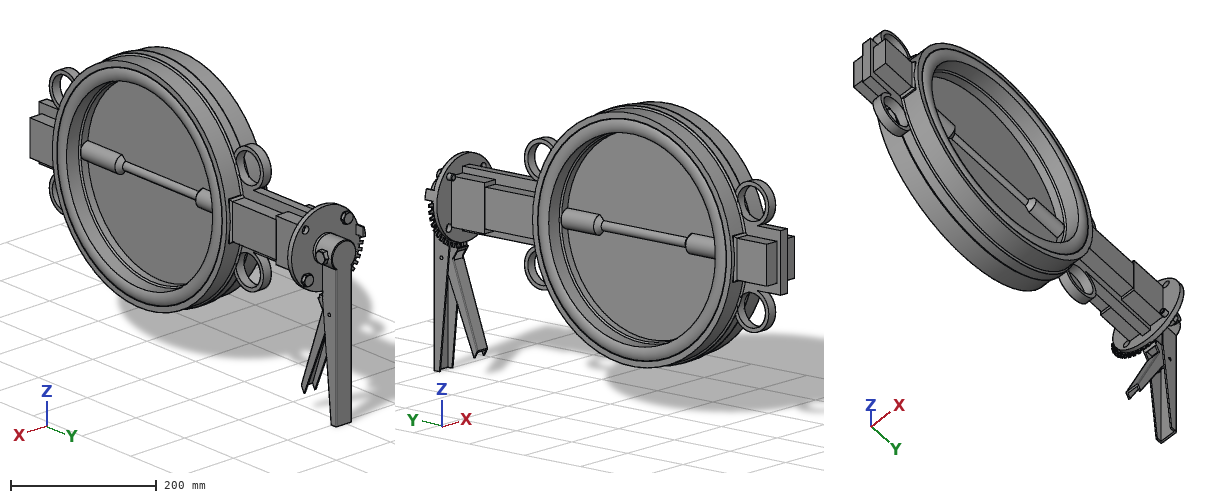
import cadquery as cq
import math


BORE_DIAMETER = 340.0
RIM_DIAMETER = 358.0
RIM_WIDTH = 77.0
FLANGE_DIAMETER = 364.5
FLANGE_WIDTH = 15.0
FLANGE_ROOT = 2.5
WEB_HEIGHT = 91.5
NECK_DEPTH = 59.5
NECK_HEIGHT = 59.5
NECK_ROOT = 3.0
NECK_ROOT_END = 181.0
PAD_DEPTH = 62.0
PAD_HEIGHT = 72.5
PAD_LENGTH = 59.5
NECK_END = 331.0
FOOT_END = -241.0
FOOT_BLOCK_END = FOOT_END + 6.0
LUG_HOLE = 50.0
LUG_DIAMETER = 62.5
LUG_Y = 188.5
LUG_Z = 75.5
LUG_WEB_END = 199.0
LUG_WEB_HEIGHT = 101.5

LINER_BORE = 300.0
LAND_DIAMETER = 296.0
LAND_WIDTH = 27.0
LAND_SHOULDER = 2.5
LIP_CROWN_X = 41.5
LIP_CROWN_RADIUS = 160.0
LIP_OUTER_DIAMETER = 338.5
LIP_INNER_X = 38.5

DISC_THICKNESS = 3.0
STEM_DIAMETER = 30.0
WAIST_DIAMETER = 15.0
WAIST_TOP = 81.5
WAIST_BOTTOM = -69.0
STEM_CONE = 7.5

PLATE_DIAMETER = 125.0
PLATE_THICKNESS = 8.0
PLATE_TOP = NECK_END + PLATE_THICKNESS
BOSS_DIAMETER = 45.0
BOSS_HEIGHT = 4.5
BOSS_TOP = PLATE_TOP + BOSS_HEIGHT
BOLT_HOLE = 12.0
BOLT_OFFSET = 36.5
SECTOR_THICKNESS = 2.0
SECTOR_ROOT_RADIUS = 64.5
TOOTH_TIP_RADIUS = 70.5
TOOTH_WIDTH = 4.5
TOOTH_COUNT = 12
TOOTH_START = 180.0
TOOTH_SPAN = 90.0
STOP_INNER_X = -57.0
STOP_HEIGHT = 13.5
STOP_BOTTOM_Z = 5.0
STOP_WIDTH = 15.0

BOLT_DIAMETER = 10.0
BOLT_TIP = 8.5
BOLT_TIP_CHAMFER = 1.0
HEAD_ACROSS_FLATS = 17.0
HEAD_HEIGHT = 6.0
HEAD_BEVEL = 1.55
WASHER_FACE_DIAMETER = 16.0
WASHER_FACE_HEIGHT = 1.0

LEVER_TOP = 377.5
LEVER_WIDTH = 29.0
LEVER_WEB = 3.0
LEVER_WALL = 2.5
LEVER_END_Z = -249.6
LEVER_DEPTH = 28.0
LEVER_TAPER_Z = -69.0
LEVER_END_DEPTH = 10.5
LEVER_ROUND = 2.0
HUB_CHAMFER = 1.0
SCREW_Y = 360.5
SCREW_ACROSS_FLATS = 18.0
SCREW_END_X = 29.0

TRIGGER_WIDTH = 22.0
TRIGGER_WALL = 2.5
TRIGGER_ROUND = 1.0
TRIGGER_OPENING = 5.0
PIVOT_DIAMETER = 5.0
PIVOT_Y = 363.0
PIVOT_Z = -88.0
TRIGGER_OUTLINE = [
    (PLATE_TOP, -65.5),
    (PLATE_TOP, -TOOTH_TIP_RADIUS),
    (336.0, -71.0),
    (345.0, -86.0),
    (301.0, -210.5),
    (307.5, -221.5),
    (354.5, -109.5),
    (369.0, -90.5),
    (369.0, -83.0),
    (351.5, -65.5),
]
TRIGGER_HEEL = TRIGGER_OUTLINE[3]
TRIGGER_TAIL = TRIGGER_OUTLINE[4]


def box(x_size, z_size, y_start, y_end):
    """Box centred on the stem axis between two heights along it."""
    return cq.Workplane("XY").box(x_size, y_end - y_start, z_size).translate((0, (y_start + y_end) / 2, 0))


def rod_x(diameter, length, y=0, z=0):
    """Cylinder along X, centred on X = 0."""
    return cq.Workplane("YZ").center(y, z).circle(diameter / 2).extrude(length / 2, both=True)


def rod_y(diameter, y_start, y_end, x=0, z=0):
    """Cylinder along Y between two heights."""
    plane = cq.Workplane("XZ", origin=(0, y_start, 0))
    return plane.center(x, z).circle(diameter / 2).extrude(y_start - y_end)


def revolve_x(profile):
    """Full turn about X of a closed (X, radius) profile."""
    return profile.revolve(360, (0, 0, 0), (1, 0, 0))


def hex_head(across_flats, height):
    """Hexagonal head along Z from the origin, with its outer corners bevelled."""
    corners = across_flats / math.cos(math.radians(30))
    bevelled = cq.Workplane("XY").circle(corners / 2).extrude(height).faces(">Z").chamfer(HEAD_BEVEL)
    return cq.Workplane("XY").polygon(6, corners).extrude(height).intersect(bevelled)


def make_ring():
    """Round part of the housing with its central rib, not yet bored."""
    rim_x = RIM_WIDTH / 2
    rib_x = FLANGE_WIDTH / 2
    rim_radius = RIM_DIAMETER / 2
    rib_radius = FLANGE_DIAMETER / 2
    root_x = rib_x + FLANGE_ROOT
    root_radius = rim_radius + FLANGE_ROOT
    profile = cq.Workplane("XY").polyline([
        (-rim_x, 0), (-rim_x, rim_radius), (-root_x, rim_radius), (-rib_x, root_radius),
        (-rib_x, rib_radius), (rib_x, rib_radius), (rib_x, root_radius),
        (root_x, rim_radius), (rim_x, rim_radius), (rim_x, 0),
    ]).close()
    return revolve_x(profile)


def make_housing():
    """Ring, neck, foot and four locating lugs in one casting."""
    root_size = NECK_HEIGHT + 2 * NECK_ROOT
    root = box(root_size, root_size, -NECK_ROOT_END, NECK_ROOT_END).faces("<Y or >Y").chamfer(NECK_ROOT)
    body = (
        make_ring()
        .union(box(FLANGE_WIDTH, WEB_HEIGHT, FOOT_END, NECK_END))
        .union(box(FLANGE_WIDTH, LUG_WEB_HEIGHT, -LUG_WEB_END, LUG_WEB_END))
        .union(box(NECK_DEPTH, NECK_HEIGHT, FOOT_BLOCK_END, NECK_END))
        .union(box(PAD_DEPTH, PAD_HEIGHT, NECK_END - PAD_LENGTH, NECK_END))
        .union(root)
    )
    lug_places = [(y, z) for y in (-LUG_Y, LUG_Y) for z in (-LUG_Z, LUG_Z)]
    for y, z in lug_places:
        body = body.union(rod_x(LUG_DIAMETER, FLANGE_WIDTH, y, z))
    for y, z in lug_places:
        body = body.cut(rod_x(LUG_HOLE, FLANGE_WIDTH, y, z))
    return body.cut(rod_x(BORE_DIAMETER, RIM_WIDTH))


def make_liner():
    """Seat ring with a rounded lip on each face and a land in the middle of its bore."""
    rim_x = RIM_WIDTH / 2
    land_x = LAND_WIDTH / 2
    outer_radius = BORE_DIAMETER / 2
    lip_radius = LIP_OUTER_DIAMETER / 2
    bore_radius = LINER_BORE / 2
    land_radius = LAND_DIAMETER / 2
    profile = (
        cq.Workplane("XY")
        .moveTo(-rim_x, outer_radius)
        .lineTo(rim_x, outer_radius)
        .lineTo(rim_x, lip_radius)
        .threePointArc((LIP_CROWN_X, LIP_CROWN_RADIUS), (LIP_INNER_X, bore_radius))
        .lineTo(land_x + LAND_SHOULDER, bore_radius)
        .lineTo(land_x, land_radius)
        .lineTo(-land_x, land_radius)
        .lineTo(-land_x - LAND_SHOULDER, bore_radius)
        .lineTo(-LIP_INNER_X, bore_radius)
        .threePointArc((-LIP_CROWN_X, LIP_CROWN_RADIUS), (-rim_x, lip_radius))
        .close()
    )
    return revolve_x(profile)


def make_disc():
    """Disc and waisted stem, ending at the land of the liner."""
    stem_radius = STEM_DIAMETER / 2
    waist_radius = WAIST_DIAMETER / 2
    reach = LAND_DIAMETER / 2
    stem = (
        cq.Workplane("XY")
        .polyline([
            (0, -reach), (stem_radius, -reach), (stem_radius, WAIST_BOTTOM - STEM_CONE),
            (waist_radius, WAIST_BOTTOM), (waist_radius, WAIST_TOP),
            (stem_radius, WAIST_TOP + STEM_CONE), (stem_radius, reach), (0, reach),
        ])
        .close()
        .revolve(360, (0, 0, 0), (0, 1, 0))
        .intersect(rod_x(LAND_DIAMETER, STEM_DIAMETER))
    )
    return rod_x(LAND_DIAMETER, DISC_THICKNESS).union(stem)


def make_index_plate():
    """Round plate with a boss, a toothed quadrant and an upright stop."""
    sector_bottom = PLATE_TOP - SECTOR_THICKNESS
    quadrant = box(PLATE_DIAMETER * 2, PLATE_DIAMETER * 2, sector_bottom, PLATE_TOP)
    quadrant = quadrant.translate((-PLATE_DIAMETER, 0, -PLATE_DIAMETER))
    sector = rod_y(2 * SECTOR_ROOT_RADIUS, sector_bottom, PLATE_TOP).intersect(quadrant)
    plate = (
        rod_y(PLATE_DIAMETER, NECK_END, PLATE_TOP)
        .union(rod_y(BOSS_DIAMETER, PLATE_TOP, BOSS_TOP))
        .union(sector)
    )
    inner_radius = BOSS_DIAMETER
    tooth = box(TOOTH_TIP_RADIUS - inner_radius, TOOTH_WIDTH, sector_bottom, PLATE_TOP)
    tooth = tooth.translate(((TOOTH_TIP_RADIUS + inner_radius) / 2, 0, 0))
    for i in range(TOOTH_COUNT):
        angle = TOOTH_START + i * TOOTH_SPAN / (TOOTH_COUNT - 1)
        plate = plate.union(tooth.rotate((0, 0, 0), (0, 1, 0), -angle))
    stop_top = PLATE_TOP + STOP_HEIGHT
    stop = box(PLATE_DIAMETER, STOP_WIDTH, sector_bottom, stop_top)
    stop = stop.translate((STOP_INNER_X - PLATE_DIAMETER / 2, 0, STOP_BOTTOM_Z + STOP_WIDTH / 2))
    plate = plate.union(stop.intersect(rod_y(PLATE_DIAMETER, sector_bottom, stop_top)))
    for x in (-BOLT_OFFSET, BOLT_OFFSET):
        for z in (-BOLT_OFFSET, BOLT_OFFSET):
            hole = BOLT_DIAMETER if x * z < 0 else BOLT_HOLE
            plate = plate.cut(rod_y(hole, NECK_END, PLATE_TOP, x, z))
    return plate


def make_bolt(x, z):
    """Hexagon bolt through the index plate, head on the lever side."""
    tip = NECK_END - BOLT_TIP
    head_base = PLATE_TOP + WASHER_FACE_HEIGHT
    shank = rod_y(BOLT_DIAMETER, tip, head_base, x, z).faces("<Y").chamfer(BOLT_TIP_CHAMFER)
    washer_face = rod_y(WASHER_FACE_DIAMETER, PLATE_TOP, head_base, x, z)
    head = hex_head(HEAD_ACROSS_FLATS, HEAD_HEIGHT).rotate((0, 0, 0), (1, 0, 0), -90)
    head = head.translate((x, head_base, z))
    return shank.union(washer_face).union(head)


def make_lever():
    """Hub, channel-shaped handle open towards -Y and clamp screw on the +X side."""
    mouth = LEVER_TOP - LEVER_DEPTH
    web_face = LEVER_TOP - LEVER_WEB
    channel = (
        cq.Workplane("YZ")
        .polyline([
            (LEVER_TOP, 0), (mouth, 0), (mouth, LEVER_TAPER_Z),
            (LEVER_TOP - LEVER_END_DEPTH, LEVER_END_Z), (LEVER_TOP, LEVER_END_Z),
        ])
        .close()
        .extrude(LEVER_WIDTH / 2, both=True)
        .edges("|Z").edges(">Y")
        .fillet(LEVER_ROUND)
    )
    hollow = box(LEVER_WIDTH - 2 * LEVER_WALL, -LEVER_END_Z, mouth, web_face)
    hollow = hollow.translate((0, 0, LEVER_END_Z / 2))
    hub = rod_y(BOSS_DIAMETER, BOSS_TOP, LEVER_TOP).faces(">Y").chamfer(HUB_CHAMFER)
    screw = hex_head(SCREW_ACROSS_FLATS, SCREW_END_X).rotate((0, 0, 0), (0, 0, 1), 90)
    screw = screw.rotate((0, 0, 0), (0, 1, 0), 90).translate((0, SCREW_Y, 0))
    return (
        channel.cut(hollow)
        .cut(rod_x(PIVOT_DIAMETER, LEVER_WIDTH, PIVOT_Y, PIVOT_Z))
        .union(hub)
        .union(screw)
    )


def make_trigger():
    """Channel-shaped trigger open towards the lever, with its pivot pin."""
    hollow_width = TRIGGER_WIDTH - 2 * TRIGGER_WALL
    cheeks = cq.Workplane("YZ").polyline(TRIGGER_OUTLINE).close().extrude(TRIGGER_WIDTH / 2, both=True)
    hollow = cq.Workplane("YZ").polyline(TRIGGER_OUTLINE).close().extrude(hollow_width / 2, both=True)
    web_line = cq.Vector(0, *TRIGGER_TAIL) - cq.Vector(0, *TRIGGER_HEEL)
    along_web = web_line.normalized()
    into_web = along_web.cross(cq.Vector(-1, 0, 0))
    hollow = hollow.translate(into_web * TRIGGER_WALL + along_web * TRIGGER_OPENING)
    cheeks = cheeks.edges(cq.selectors.ParallelDirSelector(web_line)).fillet(TRIGGER_ROUND)
    return cheeks.cut(hollow).union(rod_x(PIVOT_DIAMETER, LEVER_WIDTH, PIVOT_Y, PIVOT_Z))


housing = make_housing()
liner = make_liner()
disc = make_disc()
index_plate = make_index_plate()
lever = make_lever()
trigger = make_trigger()
bolts = [make_bolt(-side * BOLT_OFFSET, side * BOLT_OFFSET) for side in (1, -1)]

result = cq.Compound.makeCompound([
    housing.val(),
    liner.val(),
    disc.val(),
    index_plate.val(),
    lever.val(),
    trigger.val(),
    *[bolt.val() for bolt in bolts],
])